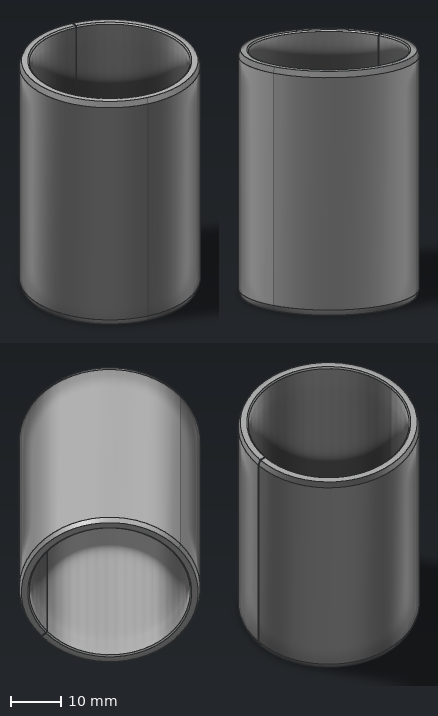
import cadquery as cq
import math

length = 50.0
outer_radius = 18.0
wall = 2.0
inner_radius = outer_radius - wall

outer_chamfer_height = 1.2
outer_chamfer_angle = 20.0
outer_chamfer_depth = outer_chamfer_height * math.tan(math.radians(outer_chamfer_angle))
inner_chamfer = 0.3

slit_width = 0.2

half_length = length / 2


def bush_body():
    """Revolve the wall section, chamfered at all four corners."""
    section = (
        cq.Workplane("XZ")
        .moveTo(inner_radius, -half_length + inner_chamfer)
        .lineTo(inner_radius + inner_chamfer, -half_length)
        .lineTo(outer_radius - outer_chamfer_depth, -half_length)
        .lineTo(outer_radius, -half_length + outer_chamfer_height)
        .lineTo(outer_radius, half_length - outer_chamfer_height)
        .lineTo(outer_radius - outer_chamfer_depth, half_length)
        .lineTo(inner_radius + inner_chamfer, half_length)
        .lineTo(inner_radius, half_length - inner_chamfer)
        .close()
    )
    return section.revolve(360, (0, 0, 0), (0, 1, 0))


def joint_slit():
    """Thin slab through the -X wall, with one face on the XZ plane and the gap on its +Y side."""
    slab = cq.Workplane("XY").box(outer_radius, slit_width, length, centered=(False, False, True))
    return slab.translate((-outer_radius, 0, 0))


result = bush_body().cut(joint_slit())